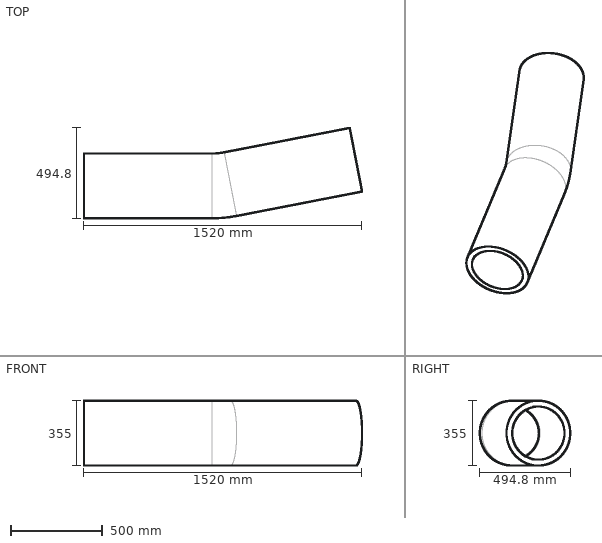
import cadquery as cq
import math

overall_length = 1520.0
outer_diameter = 355.0
inner_diameter = 290.0
bend_angle = 11.0
bend_radius = 1.5 * outer_diameter

angle = math.radians(bend_angle)
outside_bend_radius = bend_radius + outer_diameter / 2
bend_span = outside_bend_radius * math.sin(angle)
leg_length = (overall_length - bend_span) / (1 + math.cos(angle))


def point_on_bend(turn):
    """Centreline point after turning by the given angle in radians."""
    x = leg_length + bend_radius * math.sin(turn)
    y = bend_radius * (1 - math.cos(turn))
    return (x, y)


bend_end = point_on_bend(angle)
pipe_end = (
    bend_end[0] + leg_length * math.cos(angle),
    bend_end[1] + leg_length * math.sin(angle),
)
centreline = (
    cq.Workplane("XY")
    .lineTo(leg_length, 0)
    .threePointArc(point_on_bend(angle / 2), bend_end)
    .lineTo(*pipe_end)
)

result = (
    cq.Workplane("YZ")
    .circle(outer_diameter / 2)
    .circle(inner_diameter / 2)
    .sweep(centreline)
)